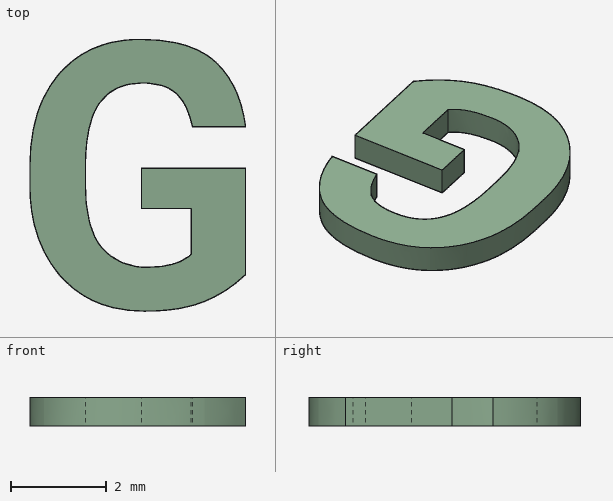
import cadquery as cq

WIDTH = 4.51
HEIGHT = 5.68
THICKNESS = 0.6

INNER_LEFT = 1.165
STRAIGHT_BOTTOM = 2.63
STRAIGHT_TOP = 3.01

INNER_TOP = 4.765
INNER_BOTTOM = 0.92

OUTER_TOP_X = 2.31
OUTER_BOTTOM_X = 2.395
INNER_TOP_X = 2.345
INNER_BOTTOM_X = 2.44

ARM_END_Y = 3.85
ARM_INNER_X = 3.395

BAR_LEFT = 2.33
BAR_TOP = 2.99
BAR_BOTTOM = 2.14
STEM_LEFT = 3.37
STEM_INNER_Y = 1.185
STEM_OUTER_Y = 0.765


def smooth_curve(outline, controls, end):
    """Add quadratic Bezier arcs that meet tangentially midway between controls."""
    for control, following in zip(controls, controls[1:]):
        joint = ((control[0] + following[0]) / 2, (control[1] + following[1]) / 2)
        outline = outline.bezier([control, joint], includeCurrent=True)
    return outline.bezier([controls[-1], end], includeCurrent=True)


outline = cq.Workplane("XY").moveTo(WIDTH, STEM_OUTER_Y)
outline = smooth_curve(outline, [(4.14, 0.41), (3.165, 0)], (OUTER_BOTTOM_X, 0))
outline = smooth_curve(outline, [(1.665, 0), (0.61, 0.635), (0, 1.83)], (0, STRAIGHT_BOTTOM))
outline = outline.lineTo(0, STRAIGHT_TOP)
outline = smooth_curve(outline, [(0, 3.855), (0.555, 5.025), (1.58, HEIGHT)], (OUTER_TOP_X, HEIGHT))
outline = smooth_curve(outline, [(3.375, HEIGHT), (4.395, 4.725)], (WIDTH, ARM_END_Y))

outline = outline.lineTo(ARM_INNER_X, ARM_END_Y)
outline = smooth_curve(outline, [(3.3, 4.32), (2.83, INNER_TOP)], (INNER_TOP_X, INNER_TOP))
outline = smooth_curve(outline, [(1.755, INNER_TOP), (INNER_LEFT, 3.935)], (INNER_LEFT, STRAIGHT_TOP))
outline = outline.lineTo(INNER_LEFT, STRAIGHT_BOTTOM)
outline = smooth_curve(outline, [(INNER_LEFT, 1.715), (1.87, INNER_BOTTOM)], (INNER_BOTTOM_X, INNER_BOTTOM))
outline = smooth_curve(outline, [(3.09, INNER_BOTTOM)], (STEM_LEFT, STEM_INNER_Y))

outline = (
    outline.lineTo(STEM_LEFT, BAR_BOTTOM)
    .lineTo(BAR_LEFT, BAR_BOTTOM)
    .lineTo(BAR_LEFT, BAR_TOP)
    .lineTo(WIDTH, BAR_TOP)
    .close()
)

result = outline.extrude(THICKNESS)